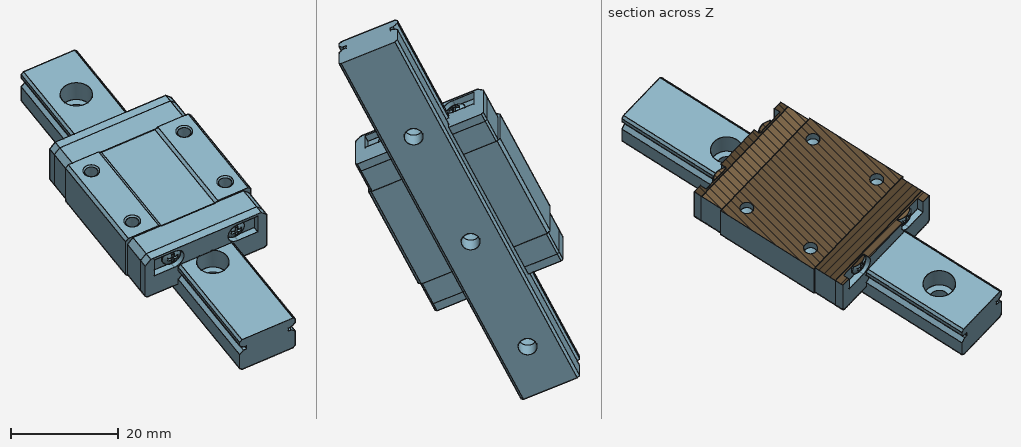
import cadquery as cq
import math


rail_length = 80.0
rail_width = 12.0
rail_height = 8.0
rail_chamfer = 0.5
groove_height = 5.4
groove_mouth = 2.3
groove_relief = 0.8
groove_slope_depth = 0.85
groove_depth = 1.5
rail_hole_pitch = 25.0
rail_hole_first_x = -30.0
rail_hole_count = 3
rail_hole_diameter = 3.5
rail_counterbore_diameter = 6.0
rail_counterbore_depth = 4.5

carriage_bottom = 3.0
block_length = 22.0
block_width = 27.0
block_top = 13.0
block_chamfer = 0.6
top_recess_width = 12.7
top_recess_depth = 0.45
top_recess_slope_run = 0.6
mount_hole_pitch_x = 15.0
mount_hole_pitch_y = 20.0
mount_hole_diameter = 2.5
mount_hole_depth = 3.5
mount_hole_chamfer_diameter = 3.1
drill_tip_angle = 118.0

carriage_length = 35.0
seal_thickness = 1.7
cap_width = 26.2
cap_top = 12.7
cap_top_chamfer = 1.2
cap_bottom_chamfer = 0.4
cap_length = (carriage_length - block_length) / 2 - seal_thickness

screw_spacing = 13.7
screw_height = 10.0
pocket_height = 4.2
pocket_outer_y = 11.15
pocket_depth = 1.3
head_diameter = 4.0
head_rim = 0.3
head_height = 1.0
shank_diameter = 2.0
shank_length = 4.0
cross_span = 2.1
cross_width = 0.6
cross_depth = 0.6


def symmetric_prism(right_points, x_start, length):
    """Prism along X whose YZ section is right_points plus their mirror image."""
    left_points = [(-y, z) for y, z in reversed(right_points)]
    section = cq.Workplane("YZ", origin=(x_start, 0, 0)).polyline(right_points + left_points).close()
    return section.extrude(length)


def rail_bar():
    """Grooved rail section without holes, centred in X."""
    side = rail_width / 2
    slope_end = side - groove_slope_depth
    groove_bottom = side - groove_depth
    right_points = [
        (side - rail_chamfer, 0),
        (side, rail_chamfer),
        (side, groove_height - groove_mouth / 2),
        (slope_end, groove_height - groove_relief / 2),
        (groove_bottom, groove_height - groove_relief / 2),
        (groove_bottom, groove_height + groove_relief / 2),
        (slope_end, groove_height + groove_relief / 2),
        (side, groove_height + groove_mouth / 2),
        (side, rail_height - rail_chamfer),
        (side - rail_chamfer, rail_height),
    ]
    return symmetric_prism(right_points, -rail_length / 2, rail_length)


def make_rail():
    hole_points = [(rail_hole_first_x + i * rail_hole_pitch, 0) for i in range(rail_hole_count)]
    return (
        rail_bar()
        .copyWorkplane(cq.Workplane("XY", origin=(0, 0, rail_height)))
        .pushPoints(hole_points)
        .cboreHole(rail_hole_diameter, rail_counterbore_diameter, rail_counterbore_depth)
    )


def mount_hole():
    """Blind drilled hole with a countersunk mouth, turned about Z below Z = 0."""
    radius = mount_hole_diameter / 2
    mouth_radius = mount_hole_chamfer_diameter / 2
    tip_length = radius / math.tan(math.radians(drill_tip_angle / 2))
    return (
        cq.Workplane("XZ")
        .moveTo(0, 0)
        .lineTo(mouth_radius, 0)
        .lineTo(radius, radius - mouth_radius)
        .lineTo(radius, -mount_hole_depth)
        .lineTo(0, -mount_hole_depth - tip_length)
        .close()
        .revolve(360, (0, 0, 0), (0, 1, 0))
    )


def make_block():
    side = block_width / 2
    recess_side = top_recess_width / 2
    right_points = [
        (side - block_chamfer, carriage_bottom),
        (side, carriage_bottom + block_chamfer),
        (side, block_top - block_chamfer),
        (side - block_chamfer, block_top),
        (recess_side, block_top),
        (recess_side - top_recess_slope_run, block_top - top_recess_depth),
    ]
    block = symmetric_prism(right_points, -block_length / 2, block_length).cut(rail_bar())
    for x in (-mount_hole_pitch_x / 2, mount_hole_pitch_x / 2):
        for y in (-mount_hole_pitch_y / 2, mount_hole_pitch_y / 2):
            block = block.cut(mount_hole().translate((x, y, block_top)))
    return block


def end_plate(x_start, length):
    """Plate with the end cap outline that fits around the rail."""
    side = cap_width / 2
    right_points = [
        (side - cap_bottom_chamfer, carriage_bottom),
        (side, carriage_bottom + cap_bottom_chamfer),
        (side, cap_top - cap_top_chamfer),
        (side - cap_top_chamfer, cap_top),
    ]
    return symmetric_prism(right_points, x_start, length).cut(rail_bar())


def screw_blank():
    """Domed screw about the X axis, without its cross recess, head towards -X at the left end."""
    seat = pocket_depth - carriage_length / 2
    head_radius = head_diameter / 2
    shank_radius = shank_diameter / 2
    dome_height = head_height - head_rim
    dome_radius = (head_radius**2 + dome_height**2) / (2 * dome_height)
    half_radius = head_radius / 2
    dome_centre = seat - head_height + dome_radius
    dome_mid_x = dome_centre - math.sqrt(dome_radius**2 - half_radius**2)
    return (
        cq.Workplane("XY")
        .moveTo(seat - head_height, 0)
        .threePointArc((dome_mid_x, half_radius), (seat - head_rim, head_radius))
        .lineTo(seat, head_radius)
        .lineTo(seat, shank_radius)
        .lineTo(seat + shank_length, shank_radius)
        .lineTo(seat + shank_length, 0)
        .close()
        .revolve(360, (0, 0, 0), (1, 0, 0))
    )


def make_screw():
    head_top = pocket_depth - carriage_length / 2 - head_height
    crown = cq.Workplane("YZ", origin=(head_top, 0, 0))
    level_arm = crown.rect(cross_span, cross_width).extrude(cross_depth)
    upright_arm = crown.rect(cross_width, cross_span).extrude(cross_depth)
    return screw_blank().cut(level_arm.union(upright_arm))


def screw_pocket():
    """Recess on the +Y side, round around the screw head and square outside."""
    screw_y = screw_spacing / 2
    half_height = pocket_height / 2
    return (
        cq.Workplane("YZ", origin=(-carriage_length / 2, 0, screw_height))
        .moveTo(screw_y, half_height)
        .threePointArc((screw_y - half_height, 0), (screw_y, -half_height))
        .lineTo(pocket_outer_y, -half_height)
        .lineTo(pocket_outer_y, half_height)
        .close()
        .extrude(pocket_depth)
    )


def both_screw_places(shape):
    return [shape.translate((0, y, screw_height)) for y in (-screw_spacing / 2, screw_spacing / 2)]


def make_left_seal():
    pocket = screw_pocket()
    seal = end_plate(-carriage_length / 2, seal_thickness).cut(pocket).cut(pocket.mirror("XZ"))
    for screw in both_screw_places(screw_blank()):
        seal = seal.cut(screw)
    return seal


def make_left_cap():
    cap = end_plate(seal_thickness - carriage_length / 2, cap_length)
    for screw in both_screw_places(screw_blank()):
        cap = cap.cut(screw)
    return cap


rail = make_rail()
block = make_block()
left_end = [make_left_cap(), make_left_seal(), *both_screw_places(make_screw())]
end_bodies = []
for body in left_end:
    end_bodies.append(body.val())
    end_bodies.append(body.mirror("YZ").val())

result = cq.Compound.makeCompound([rail.val(), block.val(), *end_bodies])